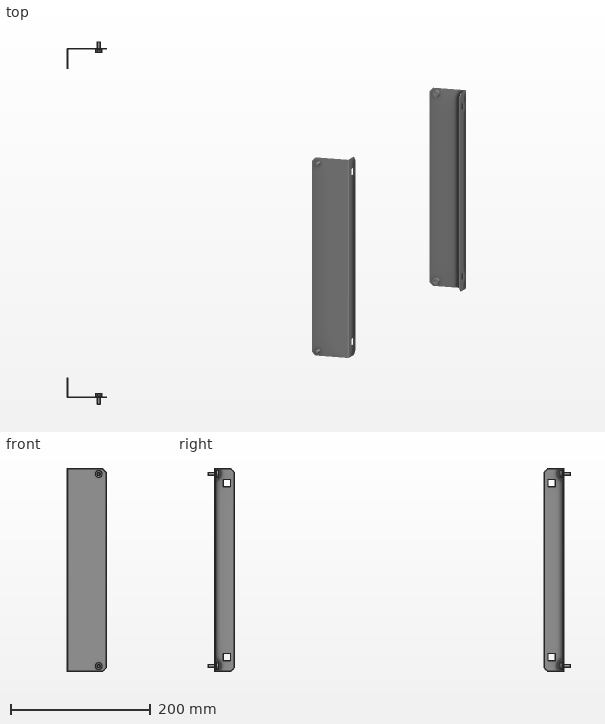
import cadquery as cq
import math

overall_depth = 519.0
bracket_width = 56.0
bracket_height = 290.0

plate_spacing = 500.0
flange_tip_spacing = 443.0
sheet_thickness = 1.0
bend_radius = 1.5
corner_cut = 5.0

square_hole_size = 10.0
square_hole_y_spacing = 465.0
square_hole_z_spacing = 249.0

screw_x = 45.0
screw_z_spacing = 275.0
shank_diameter = 4.5
tip_chamfer = 0.5
washer_diameter = 10.0
washer_thickness = 1.3
head_diameter = 9.5
head_height = 3.35
socket_width = 5.0
socket_depth = 2.0

plate_outer_y = plate_spacing / 2
plate_inner_y = plate_outer_y - sheet_thickness
flange_tip_y = flange_tip_spacing / 2
head_seat_y = plate_inner_y - washer_thickness
head_end_y = head_seat_y - head_height
screw_tip_y = overall_depth / 2


def screw_axis_plane(y, z):
    """Workplane normal to Y, centred on a screw axis."""
    return cq.Workplane("XZ", origin=(screw_x, y, z))


def cylinder_along_y(diameter, y_start, y_end, z):
    """Round bar on a screw axis."""
    return screw_axis_plane(y_start, z).circle(diameter / 2).extrude(y_start - y_end)


def fold_block(x_start, y_end, radius):
    """Block from the flange tip to y_end with the fold edge rounded."""
    return (
        cq.Workplane("XY", origin=(0, 0, -bracket_height / 2))
        .moveTo(x_start, flange_tip_y)
        .lineTo(bracket_width, flange_tip_y)
        .lineTo(bracket_width, y_end)
        .lineTo(x_start, y_end)
        .close()
        .extrude(bracket_height)
        .edges("|Z and <X and >Y")
        .fillet(radius)
    )


def make_bracket():
    """Folded angle on the +Y side, with its flange pointing toward -Y."""
    outside = fold_block(0, plate_outer_y, bend_radius)
    inside = fold_block(sheet_thickness, plate_inner_y, bend_radius - sheet_thickness)
    bracket = outside.cut(inside)

    bracket = bracket.edges("|Y and >X").chamfer(corner_cut)
    bracket = bracket.edges("|X and <Y").chamfer(corner_cut)

    for side in (-1, 1):
        square_hole = (
            cq.Workplane("YZ")
            .center(square_hole_y_spacing / 2, side * square_hole_z_spacing / 2)
            .rect(square_hole_size, square_hole_size)
            .extrude(sheet_thickness)
        )
        screw_hole = cylinder_along_y(
            shank_diameter, plate_inner_y, plate_outer_y, side * screw_z_spacing / 2
        )
        bracket = bracket.cut(square_hole).cut(screw_hole)
    return bracket


def make_washer(z):
    """Flat ring between the screw head and the inner plate face."""
    hole = cylinder_along_y(shank_diameter, head_seat_y, plate_inner_y, z)
    return cylinder_along_y(washer_diameter, head_seat_y, plate_inner_y, z).cut(hole)


def make_screw(z):
    """Cylinder-head screw with a hexagon socket and a chamfered tip."""
    shank = cylinder_along_y(shank_diameter, head_seat_y, screw_tip_y, z)
    shank = shank.faces(">Y").chamfer(tip_chamfer)
    head = cylinder_along_y(head_diameter, head_end_y, head_seat_y, z)
    socket_corner_diameter = socket_width / math.cos(math.pi / 6)
    socket = screw_axis_plane(head_end_y, z).polygon(6, socket_corner_diameter).extrude(-socket_depth)
    return head.union(shank).cut(socket)


brackets = [make_bracket()]
washers = []
screws = []
for side in (-1, 1):
    screw_z = side * screw_z_spacing / 2
    washers.append(make_washer(screw_z))
    screws.append(make_screw(screw_z))

bodies = brackets + washers + screws
bodies += [body.mirror("XZ") for body in bodies]

result = cq.Compound.makeCompound([body.val() for body in bodies])